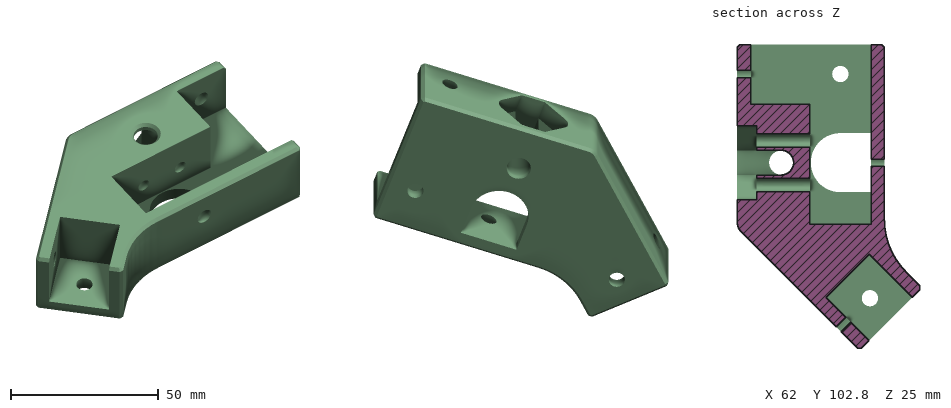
import cadquery as cq
import math

height = 25.0
tube_size = 20.0
clearance = 0.6
socket_width = tube_size + clearance
arm_width = 50.0
leg_width = 30.0
leg_angle = 45.0
bend_y = -62.07
leg_length = 58.645
outer_bend_radius = 5.0
inner_bend_radius = 25.0
edge_chamfer = 1.0

wall = (leg_width - socket_width) / 2
floor = wall
cross_socket_depth = 20.15
long_socket_depth = 60.8
leg_socket_depth = 20.6

screw_diameter = 5.5
screw_inset = 10.0
screw_height = 15.0
long_socket_x = arm_width - wall - socket_width / 2

feature_y = -40.0
window_radius = 10.0
pivot_x = 15.0
pivot_diameter = 8.2
pivot_chamfer = 1.0

recess_depth = 6.6
recess_height = 20.0
recess_tip_radius = 4.0
recess_screw_diameter = 4.4
recess_screw_spacing = 15.0

leg_frame = cq.Plane(
    origin=(0, bend_y, 0),
    xDir=(math.cos(math.radians(leg_angle)), -math.sin(math.radians(leg_angle)), 0),
    normal=(0, 0, 1),
)


def leg_point(along, across):
    point = leg_frame.toWorldCoords((along, across))
    return (point.x, point.y)


def make_body():
    angle = math.radians(leg_angle)
    inner_bend_y = bend_y - arm_width * math.tan(angle) + leg_width / math.cos(angle)
    arm_corners = [(arm_width, 0), (0, 0)]
    leg_corners = [leg_point(leg_length, 0), leg_point(leg_length, leg_width)]
    outer_bend = (0, bend_y)
    inner_bend = (arm_width, inner_bend_y)
    outline = arm_corners + [outer_bend] + leg_corners + [inner_bend]
    body = cq.Workplane("XY").polyline(outline).close().extrude(height)

    def upright_edges(points):
        selector = cq.selectors.NearestToPointSelector((*points[0], height / 2))
        for point in points[1:]:
            selector = selector + cq.selectors.NearestToPointSelector((*point, height / 2))
        return body.edges("|Z").edges(selector)

    body = upright_edges([outer_bend]).fillet(outer_bend_radius)
    body = upright_edges([inner_bend]).fillet(inner_bend_radius)
    body = upright_edges(arm_corners + leg_corners).chamfer(edge_chamfer)
    return body.faces("<Z or >Z").edges().chamfer(edge_chamfer)


def socket_box(frame, low, high):
    """Box from the floor to the top, between two opposite plan corners of the frame."""
    size_x = high[0] - low[0]
    size_y = high[1] - low[1]
    return (
        cq.Workplane(frame)
        .workplane(offset=floor)
        .center(low[0], low[1])
        .rect(size_x, size_y, centered=False)
        .extrude(height - floor)
    )


def make_sockets():
    arm_frame = cq.Plane.XY()
    far_x = arm_width - wall
    cross_socket = socket_box(arm_frame, (wall, -cross_socket_depth), (far_x, 0))
    long_socket = socket_box(arm_frame, (far_x - socket_width, -long_socket_depth), (far_x, 0))
    leg_start = leg_length - leg_socket_depth
    leg_socket = socket_box(leg_frame, (leg_start, wall), (leg_length, wall + socket_width))
    return cross_socket.union(long_socket).union(leg_socket)


def cylinder(start, direction, diameter, length):
    solid = cq.Solid.makeCylinder(diameter / 2, length, cq.Vector(*start), cq.Vector(*direction))
    return cq.Workplane(solid)


def make_screw_holes():
    leg_screw_along = leg_length - screw_inset
    leg_floor_start = (*leg_point(leg_screw_along, leg_width / 2), 0)
    leg_wall_start = (*leg_point(leg_screw_along, 0), screw_height)
    across_leg = leg_frame.yDir.toTuple()
    starts = [
        ((long_socket_x, -screw_inset, 0), (0, 0, 1)),
        ((0, -screw_inset, screw_height), (1, 0, 0)),
        ((arm_width, feature_y, screw_height), (-1, 0, 0)),
        (leg_floor_start, (0, 0, 1)),
        (leg_wall_start, across_leg),
    ]
    holes = cq.Workplane()
    for start, direction in starts:
        holes = holes.add(cylinder(start, direction, screw_diameter, 2 * wall))
    return holes.combine()


def make_window():
    """Round-ended opening through the floor, running up to the +X wall."""
    straight = arm_width - wall - long_socket_x
    round_end = cylinder((long_socket_x, feature_y, 0), (0, 0, 1), 2 * window_radius, 2 * floor)
    return round_end.union(
        cq.Workplane("XY")
        .center(long_socket_x, feature_y - window_radius)
        .rect(straight, 2 * window_radius, centered=False)
        .extrude(2 * floor)
    )


def make_pivot_hole():
    pivot_radius = pivot_diameter / 2
    countersink = cq.Solid.makeCone(
        pivot_radius,
        pivot_radius + pivot_chamfer,
        pivot_chamfer,
        cq.Vector(pivot_x, feature_y, height - pivot_chamfer),
    )
    bore = cylinder((pivot_x, feature_y, 0), (0, 0, 1), pivot_diameter, height)
    return bore.union(cq.Workplane(countersink))


def make_side_recess():
    """Lozenge recess, a slot from it to the pivot hole, and two screw holes to the long socket."""
    half_flat = pivot_diameter / 2
    half_height = recess_height / 2
    half_width = half_flat + half_height
    outline = [
        (half_flat, half_height),
        (half_width, 0),
        (half_flat, -half_height),
        (-half_flat, -half_height),
        (-half_width, 0),
        (-half_flat, half_height),
    ]
    face = cq.Workplane("YZ", origin=(0, feature_y, height / 2))
    lozenge = face.polyline(outline).close().extrude(recess_depth)
    lozenge = lozenge.edges("|X and (<Y or >Y)").fillet(recess_tip_radius)
    slot = face.rect(pivot_diameter, recess_height).extrude(pivot_x)
    half_spacing = recess_screw_spacing / 2
    screw_centres = [(-half_spacing, 0), (half_spacing, 0)]
    screw_holes = face.pushPoints(screw_centres).circle(recess_screw_diameter / 2).extrude(long_socket_x)
    return lozenge.union(slot).union(screw_holes)


result = make_body()
for cutter in (make_sockets(), make_screw_holes(), make_window(), make_pivot_hole(), make_side_recess()):
    result = result.cut(cutter)